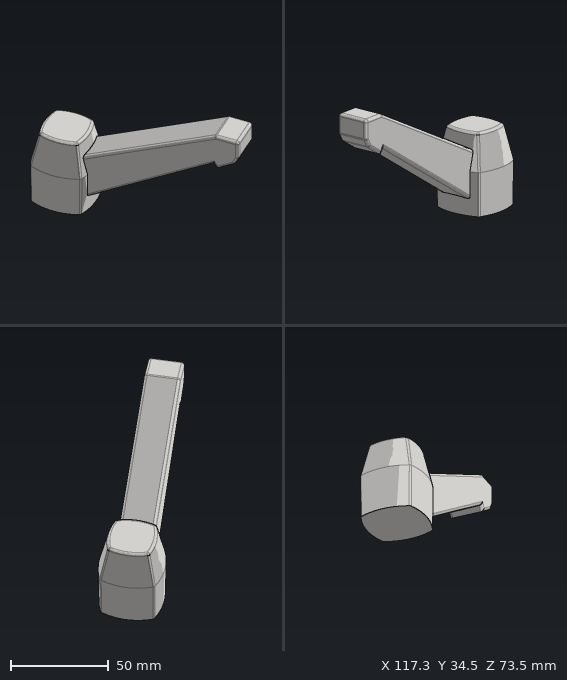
import cadquery as cq
import math

hub_width = 34.5
hub_height = 44.0
waist_height = 24.0
side_radius = 34.0
upper_draft = 13.4
lower_draft = 0.8
hub_corner_fillet = 1.8
hub_top_fillet = 1.6

arm_width = 19.0
arm_fillet = 1.6
arm_end_x = 100.0
arm_top_z = 73.5
arm_bend_x = 86.9
arm_end_bottom_z = 62.7
arm_top_angle = 27.4
arm_bottom_angle = 33.0
chin_x = 97.5
chin_z = 58.1
lip_length = 11.6
lip_depth = 3.5
arm_root_x = 5.9


def hub_section(inset):
    """Bowed square with rounded corners, moved inward from the waist outline by the inset."""
    half = hub_width / 2 - inset
    radius = side_radius - inset
    centre_offset = radius - half
    corner = (math.sqrt(2 * radius**2 - centre_offset**2) - centre_offset) / 2
    return (
        cq.Sketch()
        .arc((corner, corner), (0, half), (-corner, corner))
        .arc((-corner, corner), (-half, 0), (-corner, -corner))
        .arc((-corner, -corner), (0, -half), (corner, -corner))
        .arc((corner, -corner), (half, 0), (corner, corner))
        .assemble()
        .vertices()
        .fillet(hub_corner_fillet)
    )


def hub_part(end_height, draft):
    """The stretch of the hub that narrows from the waist to the end height."""
    length = end_height - waist_height
    inset = abs(length) * math.tan(math.radians(draft))
    end_section = hub_section(inset).moved(cq.Location(cq.Vector(0, 0, length)))
    return (
        cq.Workplane("XY", origin=(0, 0, waist_height))
        .placeSketch(hub_section(0), end_section)
        .loft(ruled=True)
    )


def make_hub():
    hub = hub_part(0, lower_draft).union(hub_part(hub_height, upper_draft))
    return hub.faces(">Z").edges().fillet(hub_top_fillet)


def make_arm():
    rise = math.tan(math.radians(arm_top_angle))
    angle = math.radians(arm_bottom_angle)
    lip_x = chin_x - lip_length * math.cos(angle)
    lip_z = chin_z - lip_length * math.sin(angle)
    notch_x = lip_x - lip_depth * math.sin(angle)
    notch_z = lip_z + lip_depth * math.cos(angle)
    profile = [
        (arm_root_x, arm_top_z - (arm_bend_x - arm_root_x) * rise),
        (arm_bend_x, arm_top_z),
        (arm_end_x, arm_top_z),
        (arm_end_x, arm_end_bottom_z),
        (chin_x, chin_z),
        (lip_x, lip_z),
        (notch_x, notch_z),
        (arm_root_x, notch_z - (notch_x - arm_root_x) * math.tan(angle)),
    ]
    arm = cq.Workplane("XZ").polyline(profile).close().extrude(arm_width / 2, both=True)
    for x, z in profile[1:5]:
        arm = arm.edges(cq.selectors.NearestToPointSelector((x, 0, z))).fillet(arm_fillet)
    return arm.faces("<Y or >Y").edges().fillet(arm_fillet)


result = make_hub().union(make_arm())